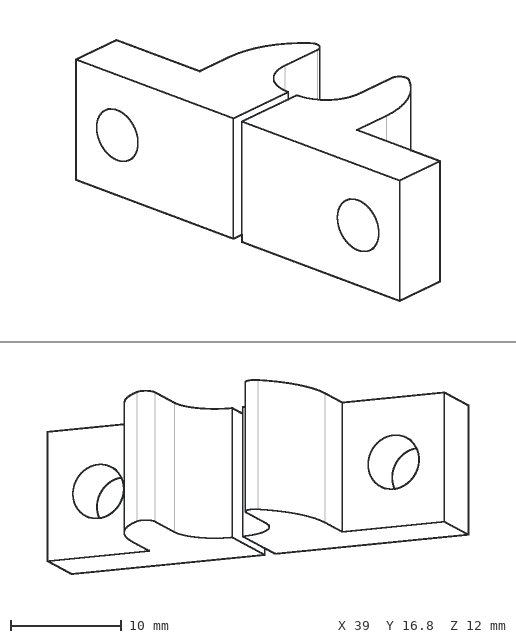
import cadquery as cq

total_length = 39.0
height = 12.0

gap = 1.0
base_depth = 5.55
hole_diameter = 5.0
hole_inset = 5.0

jaw_outer_x = 9.48
jaw_inner_x = 4.5
throat_y = 7.5
outer_arc_start_y = 9.5
tip_radius = 0.9

half_gap = gap / 2
half_length = total_length / 2
throat_radius = jaw_inner_x - half_gap
outer_arc_radius = jaw_outer_x - half_gap
outer_arc_rise = (outer_arc_radius**2 - throat_radius**2) ** 0.5
tip_y = outer_arc_start_y + outer_arc_rise
diagonal = 0.5**0.5


def make_right_half():
    """Clamp half on the +X side, with its flange hole running along Y."""
    throat_mid = (
        half_gap + throat_radius * diagonal,
        throat_y + throat_radius * (1 - diagonal),
    )
    profile = (
        cq.Workplane("XY")
        .moveTo(half_gap, 0)
        .lineTo(half_length, 0)
        .lineTo(half_length, base_depth)
        .lineTo(jaw_outer_x, base_depth)
        .lineTo(jaw_outer_x, outer_arc_start_y)
        .radiusArc((jaw_inner_x, tip_y), -outer_arc_radius)
        .lineTo(jaw_inner_x, throat_y + throat_radius)
        .threePointArc(throat_mid, (half_gap, throat_y))
        .close()
    )
    body = profile.extrude(height)
    body = body.edges("|Z").edges(">Y").fillet(tip_radius)

    hole = (
        cq.Workplane("XZ")
        .center(half_length - hole_inset, height / 2)
        .circle(hole_diameter / 2)
        .extrude(-base_depth)
    )
    return body.cut(hole)


def make_clamp_halves():
    """The two separate halves, mirrored across the gap."""
    right_half = make_right_half()
    left_half = right_half.mirror("YZ")
    return [left_half.val(), right_half.val()]


clamp_halves = make_clamp_halves()
result = cq.Compound.makeCompound(clamp_halves)